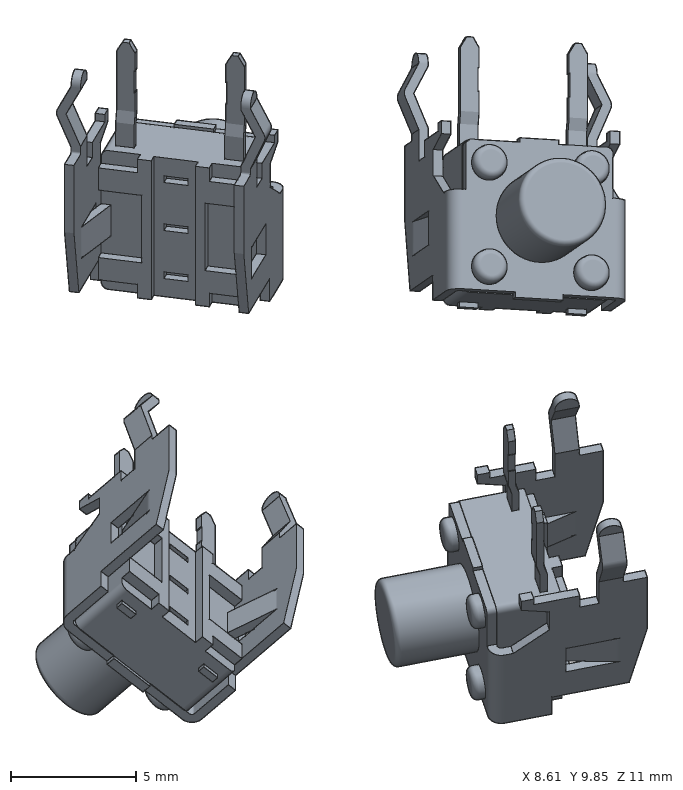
import cadquery as cq
import math


overall_width = 8.61
housing_half = 3.1
housing_depth = 3.11
housing_corner_radius = 0.31
rear_pocket_depth = 0.43
channel_half_width = 0.91
channel_depth = 0.4
notch_inner_x = 1.48
notch_inner_z = 2.5
recess_inner_x = 1.31
recess_half_height = 1.51
slot_width = 0.99
slot_height = 0.3
slot_depth = 0.4
slot_pitch = 2.15

sheet = 0.4

post_radius = 1.4 / 2
post_offset = 2.12
post_rise = 0.5
post_height = sheet + post_rise
post_edge_radius = 0.25

button_radius = 3.6 / 2
button_tip = 3.81
button_edge_radius = 0.22

plate_half = 3.06
plate_bottom = -plate_half
plate_corner_radius = 0.24
top_tab_width = 1.63
top_tab_end = 3.23
bottom_tab_width = 1.98
bottom_tab_end = 3.28

leg_outer_x = 3.71
leg_inner_x = leg_outer_x - sheet
bend_inner_radius = 0.15
bend_outer_radius = bend_inner_radius + sheet
leg_rear = -6.04
leg_rear_top = 4.0
leg_rear_bottom = 0.97
leg_bottom = -2.05
leg_bottom_rear = -5.29
foot_rear = -2.1
cutout_front = -0.52
cutout_rear = -2.0
cutout_corner_z = 1.99
hook_front = -0.85
hook_rear = -1.36
hook_base = 3.06
hook_underside = 3.48
leg_front_top = 3.67
gap_front = -3.26
gap_bottom = 3.0
leg_bend_top = 1.0

prong_center_y = -4.54
prong_width = 1.0
prong_front = prong_center_y + prong_width / 2
prong_rear = prong_center_y - prong_width / 2
prong_tip = 7.48
prong_fillet = 0.1
prong_base = leg_rear_top + prong_fillet
crest_inner_x = overall_width / 2 - sheet
crest_z = 5.74
kink_top = 6.89
kink_bottom = 4.37

tongue_half_height = 0.69
tongue_root = -4.91
tongue_tip = -housing_depth + rear_pocket_depth
tongue_angle = 15.6
tongue_bend_radius = 0.05

terminal_x = 2.25
terminal_width = 0.77
terminal_thickness = 0.3
terminal_front = -1.89
terminal_embed = 1.0
terminal_jog = 0.14
jog_bottom = 4.14
jog_top = 4.63
pin_tip = 7.69
pin_shoulder = 7.26
pin_tip_half_width = 0.13
pin_notch_depth = 0.04
pin_notch_bottom = 5.49
pin_notch_top = 6.46
stub_end = -3.31

SIDES = (-1, 1)


def block(x_range, y_range, z_range):
    """Box that spans the given ranges; the ends of a range may come in either order."""
    ranges = (x_range, y_range, z_range)
    sizes = [abs(end - start) for start, end in ranges]
    middle = tuple((start + end) / 2 for start, end in ranges)
    return cq.Workplane("XY").box(*sizes).translate(middle)


def cylinder(x, z, radius, y_end):
    """Cylinder along Y from the housing face (Y = 0) to y_end."""
    return cq.Workplane("XZ", origin=(x, 0, z)).circle(radius).extrude(-y_end)


def mirrored(shape, side):
    """The shape itself for the +X side, its mirror image for the -X side."""
    return shape if side > 0 else shape.mirror("YZ")


def pin_terminal():
    """Upper terminal at +X: a pointed, jogged pin with a shallow notch in its inner edge."""
    half = terminal_width / 2
    bottom = housing_half - terminal_embed
    back = terminal_front - terminal_thickness
    side_outline = [
        (terminal_front, bottom),
        (terminal_front, jog_bottom),
        (terminal_front + terminal_jog, jog_top),
        (terminal_front + terminal_jog, pin_tip),
        (back + terminal_jog, pin_tip),
        (back + terminal_jog, jog_top),
        (back, jog_bottom),
        (back, bottom),
    ]
    face_outline = [
        (-half, bottom),
        (half, bottom),
        (half, pin_shoulder),
        (pin_tip_half_width, pin_tip),
        (-pin_tip_half_width, pin_tip),
        (-half, pin_shoulder),
        (-half, pin_notch_top),
        (-half + pin_notch_depth, pin_notch_top),
        (-half + pin_notch_depth, pin_notch_bottom),
        (-half, pin_notch_bottom),
    ]
    strip = cq.Workplane("YZ", origin=(terminal_x, 0, 0)).polyline(side_outline).close()
    strip = strip.extrude(half, both=True)
    face = cq.Workplane("XZ", origin=(terminal_x, 0, 0)).polyline(face_outline).close()
    return strip.intersect(face.extrude(-back))


def stub_terminal():
    """Lower terminal at +X: a straight stub."""
    half = terminal_width / 2
    return block(
        (terminal_x - half, terminal_x + half),
        (terminal_front - terminal_thickness, terminal_front),
        (stub_end, -housing_half + terminal_embed),
    )


def make_button():
    return cylinder(0, 0, button_radius, button_tip).faces(">Y").edges().fillet(button_edge_radius)


def post_places():
    return [(x * post_offset, z * post_offset) for x in SIDES for z in SIDES]


def make_housing(terminals):
    rear = -housing_depth
    pocket_floor = rear + rear_pocket_depth
    channel_floor = rear + channel_depth
    body = block((-housing_half, housing_half), (rear, 0), (-housing_half, housing_half))
    body = body.edges("|Y").fillet(housing_corner_radius)

    body = body.cut(
        block(
            (-channel_half_width, channel_half_width),
            (rear, channel_floor),
            (-housing_half, housing_half),
        )
    )
    for step in (-1, 0, 1):
        slot_z = step * slot_pitch
        body = body.cut(
            block(
                (-slot_width / 2, slot_width / 2),
                (channel_floor, channel_floor + slot_depth),
                (slot_z - slot_height / 2, slot_z + slot_height / 2),
            )
        )

    for side in SIDES:
        body = body.cut(
            block(
                (side * recess_inner_x, side * housing_half),
                (rear, pocket_floor),
                (-recess_half_height, recess_half_height),
            )
        )
        for end in SIDES:
            body = body.cut(
                block(
                    (side * notch_inner_x, side * housing_half),
                    (rear, pocket_floor),
                    (end * notch_inner_z, end * housing_half),
                )
            )

    for x, z in post_places():
        post = cylinder(x, z, post_radius, post_height)
        body = body.union(post.faces(">Y").edges().fillet(post_edge_radius))

    for terminal in terminals:
        body = body.cut(terminal)
    return body


def bracket_plate():
    plate = block((-plate_half, plate_half), (0, sheet), (plate_bottom, plate_half))
    plate = plate.edges("|Y and >Z").fillet(plate_corner_radius)
    plate = plate.union(block((-top_tab_width / 2, top_tab_width / 2), (0, sheet), (0, top_tab_end)))
    return plate.union(
        block((-bottom_tab_width / 2, bottom_tab_width / 2), (0, sheet), (-bottom_tab_end, 0))
    )


def leg_outline():
    """Side outline of a leg, up to its prong, together with the bend that joins it to the plate."""
    return (
        cq.Workplane("YZ")
        .moveTo(sheet, plate_bottom)
        .lineTo(sheet, leg_bend_top)
        .lineTo(cutout_front, leg_bend_top)
        .lineTo(cutout_rear, cutout_corner_z)
        .lineTo(cutout_rear, hook_base)
        .lineTo(hook_front, hook_underside)
        .lineTo(hook_front, leg_rear_top)
        .lineTo(hook_rear, leg_rear_top)
        .lineTo(hook_rear, leg_front_top)
        .lineTo(gap_front, leg_front_top)
        .lineTo(gap_front, gap_bottom)
        .lineTo(prong_front, gap_bottom)
        .lineTo(prong_front, prong_base)
        .lineTo(prong_rear, prong_base)
        .radiusArc((prong_rear - prong_fillet, leg_rear_top), prong_fillet)
        .lineTo(leg_rear, leg_rear_top)
        .lineTo(leg_rear, leg_rear_bottom)
        .lineTo(leg_bottom_rear, leg_bottom)
        .lineTo(foot_rear, leg_bottom)
        .lineTo(foot_rear, plate_bottom)
        .close()
    )


def bent_sheet():
    """Plate edge, bend and flat leg at +X, as a sheet seen along Z."""
    plate_edge = leg_outer_x - bend_outer_radius
    return (
        cq.Workplane("XY", origin=(0, 0, plate_bottom))
        .moveTo(button_radius, 0)
        .lineTo(plate_edge, 0)
        .radiusArc((leg_inner_x, -bend_inner_radius), bend_inner_radius)
        .lineTo(leg_inner_x, leg_rear)
        .lineTo(leg_outer_x, leg_rear)
        .lineTo(leg_outer_x, sheet - bend_outer_radius)
        .radiusArc((plate_edge, sheet), -bend_outer_radius)
        .lineTo(button_radius, sheet)
        .close()
        .extrude(prong_base - plate_bottom)
    )


def prong():
    """Round-ended prong with an outward kink of constant sheet thickness."""
    rise = crest_inner_x - leg_inner_x
    upper_angle = math.atan2(rise, kink_top - crest_z)
    lower_angle = math.atan2(rise, crest_z - kink_bottom)

    def crest_point(turn):
        return (crest_inner_x + sheet * math.cos(turn), crest_z + sheet * math.sin(turn))

    kinked = (
        cq.Workplane("XZ", origin=(0, prong_front, 0))
        .moveTo(leg_inner_x, prong_base)
        .lineTo(leg_inner_x, kink_bottom)
        .lineTo(crest_inner_x, crest_z)
        .lineTo(leg_inner_x, kink_top)
        .lineTo(leg_inner_x, prong_tip)
        .lineTo(leg_outer_x, prong_tip)
        .lineTo(leg_outer_x, kink_top + sheet * math.tan(upper_angle / 2))
        .lineTo(*crest_point(upper_angle))
        .threePointArc(crest_point(0), crest_point(-lower_angle))
        .lineTo(leg_outer_x, kink_bottom - sheet * math.tan(lower_angle / 2))
        .lineTo(leg_outer_x, prong_base)
        .close()
        .extrude(prong_width)
    )
    shoulder = prong_tip - prong_width / 2
    round_end = (
        cq.Workplane("YZ")
        .moveTo(prong_front, prong_base)
        .lineTo(prong_front, shoulder)
        .threePointArc((prong_center_y, prong_tip), (prong_rear, shoulder))
        .lineTo(prong_rear, prong_base)
        .close()
        .extrude(overall_width / 2)
    )
    return kinked.intersect(round_end)


def tongue():
    """Tongue cut from the leg at +X and bent inwards until its tip meets the housing recess."""
    angle = math.radians(tongue_angle)
    outer_radius = tongue_bend_radius + sheet
    center_x = leg_outer_x - outer_radius

    def bend_point(radius, turn):
        return (center_x + radius * math.cos(turn), tongue_root + radius * math.sin(turn))

    def tip_point(radius):
        start_x, start_y = bend_point(radius, angle)
        return (start_x - (tongue_tip - start_y) * math.tan(angle), tongue_tip)

    return (
        cq.Workplane("XY", origin=(0, 0, -tongue_half_height))
        .moveTo(leg_inner_x, tongue_root)
        .threePointArc(bend_point(tongue_bend_radius, angle / 2), bend_point(tongue_bend_radius, angle))
        .lineTo(*tip_point(tongue_bend_radius))
        .lineTo(*tip_point(outer_radius))
        .lineTo(*bend_point(outer_radius, angle))
        .threePointArc(bend_point(outer_radius, angle / 2), (leg_outer_x, tongue_root))
        .close()
        .extrude(2 * tongue_half_height)
    )


def leg():
    """One complete leg, at +X."""
    window = block(
        (leg_inner_x, leg_outer_x),
        (tongue_root, tongue_tip),
        (-tongue_half_height, tongue_half_height),
    )
    flat = bent_sheet().intersect(leg_outline().extrude(leg_outer_x))
    return flat.union(prong()).cut(window).union(tongue())


def make_bracket():
    bracket = bracket_plate()
    for side in SIDES:
        bracket = bracket.union(mirrored(leg(), side))
    bracket = bracket.cut(cylinder(0, 0, button_radius, sheet))
    for x, z in post_places():
        bracket = bracket.cut(cylinder(x, z, post_radius, sheet))
    return bracket


pins = [mirrored(pin_terminal(), side) for side in SIDES]
stubs = [mirrored(stub_terminal(), side) for side in SIDES]
button = make_button()
housing = make_housing(pins + stubs)
bracket = make_bracket()

result = cq.Compound.makeCompound(
    [housing.val(), bracket.val(), button.val(), *[terminal.val() for terminal in pins + stubs]]
)